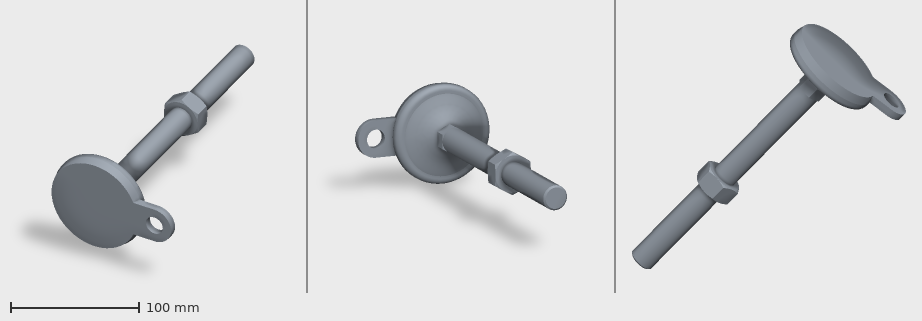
import cadquery as cq
import math

total_length = 236.0
total_width = 109.0

foot_diameter = 80.0
foot_radius = foot_diameter / 2
base_radius = 38.2
taper_height = 7.0
rim_height = 10.6
shoulder_height = 15.0
rim_round = shoulder_height - rim_height
dome_outer_radius = 33.0
dome_mid_radius = 20.3
dome_mid_height = 19.4
dome_top_radius = 10.1
dome_top_height = 25.0

lug_thickness = 6.4
lug_width = 30.0
lug_radius = lug_width / 2
lug_hole_diameter = 15.0
lug_offset = total_width - foot_radius - lug_radius

stud_diameter = 20.0
stud_chamfer = 1.5
neck_diameter = 10.0
hex_start = 25.7
hex_end = 35.6
hex_flats = 20.0

nut_flats = 30.0
nut_start = 136.2
nut_length = 15.5
nut_chamfer_height = 1.5


def cylinder(diameter, start, end):
    """Round bar on the screw axis between two Y positions."""
    return cq.Workplane("XZ", origin=(0, start, 0)).circle(diameter / 2).extrude(start - end)


def across_corners(flats):
    return flats / math.cos(math.pi / 6)


def hexagon(flats, start, end):
    """Hexagonal bar on the screw axis with two flats facing +X and -X."""
    return (
        cq.Workplane("XZ", origin=(0, start, 0))
        .transformed(rotate=(0, 0, 90))
        .polygon(6, across_corners(flats))
        .extrude(start - end)
    )


def make_foot():
    round_mid = rim_round * math.sqrt(0.5)
    return (
        cq.Workplane("XY")
        .lineTo(base_radius, 0)
        .lineTo(foot_radius, taper_height)
        .lineTo(foot_radius, rim_height)
        .threePointArc(
            (foot_radius - rim_round + round_mid, rim_height + round_mid),
            (foot_radius - rim_round, shoulder_height),
        )
        .lineTo(dome_outer_radius, shoulder_height)
        .threePointArc((dome_mid_radius, dome_mid_height), (dome_top_radius, dome_top_height))
        .lineTo(0, dome_top_height)
        .close()
        .revolve(360, (0, 0, 0), (0, 1, 0))
    )


def make_lug():
    bar = (
        cq.Workplane("XZ")
        .center(lug_offset / 2, 0)
        .rect(lug_offset, lug_width)
        .extrude(-lug_thickness)
    )
    tip = cylinder(lug_width, 0, lug_thickness).translate((lug_offset, 0, 0))
    return bar.union(tip)


def make_lug_hole():
    return cylinder(lug_hole_diameter, 0, lug_thickness).translate((lug_offset, 0, 0))


def make_stud():
    shank = cylinder(stud_diameter, hex_end, total_length).faces(">Y").chamfer(stud_chamfer)
    neck = cylinder(neck_diameter, dome_top_height, hex_start)
    return shank.union(neck).union(hexagon(hex_flats, hex_start, hex_end))


def make_nut():
    """Hexagon nut whose corners are bevelled at both ends."""
    corner_trim = (across_corners(nut_flats) - nut_flats) / 2
    bevelled_blank = (
        cylinder(across_corners(nut_flats), nut_start, nut_start + nut_length)
        .faces("<Y or >Y")
        .chamfer(nut_chamfer_height, corner_trim)
    )
    return hexagon(nut_flats, nut_start, nut_start + nut_length).intersect(bevelled_blank)


result = make_foot().union(make_lug()).cut(make_lug_hole()).union(make_stud()).union(make_nut())